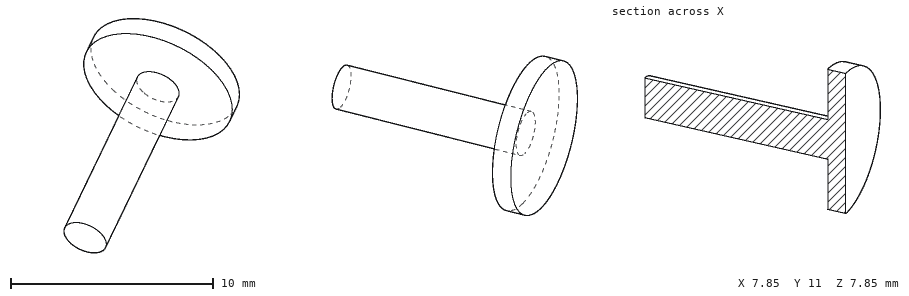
import cadquery as cq

total_length = 11.0
head_diameter = 7.85
head_thickness = 1.0
shank_diameter = 2.24
shank_length = total_length - head_thickness

head_back = cq.Workplane("XZ", origin=(0, total_length / 2, 0))
head = head_back.circle(head_diameter / 2).extrude(head_thickness)

result = head.faces("<Y").workplane().circle(shank_diameter / 2).extrude(shank_length)